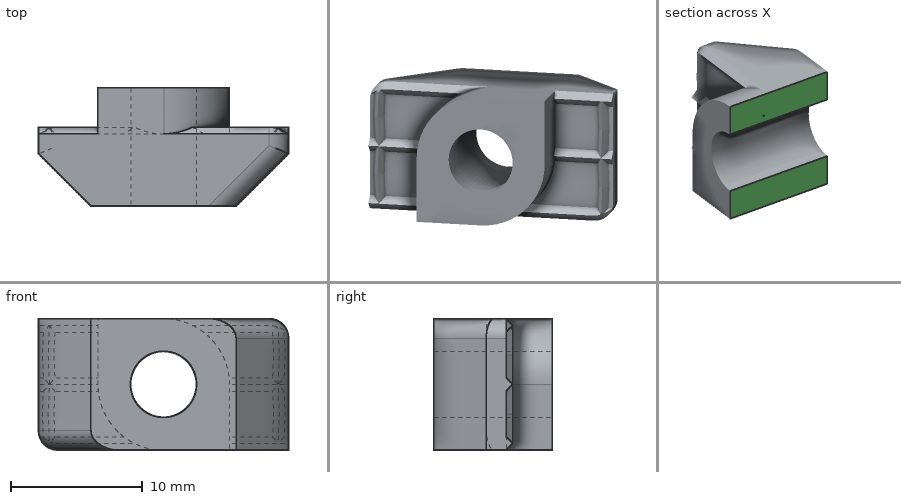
import cadquery as cq

length = 19.0
depth = 9.0
width = 10.0

floor_depth = 5.5
bevel = 3.99
corner_radius = 1.5

crest_depth = 6.0
end_ridge_inset = 0.72
end_ridge_half_base = 0.44
end_ridge_bow = 0.1

boss_radius = width / 2
hole_diameter = 5.0

half_length = length / 2
half_width = width / 2
ridge_height = crest_depth - floor_depth
edge_crest = half_width - ridge_height


def make_flange():
    """Bevelled flange with two diagonally opposite corners rounded."""
    outline = [
        (-half_length + bevel, 0),
        (half_length - bevel, 0),
        (half_length, bevel),
        (half_length, floor_depth),
        (-half_length, floor_depth),
        (-half_length, bevel),
    ]
    flange = cq.Workplane("XY").polyline(outline).close().extrude(half_width, both=True)
    for side in (-1, 1):
        corner_z = side * half_width
        bevel_middle = (side * (half_length - bevel / 2), bevel / 2, corner_z)
        end_middle = (side * half_length, (bevel + floor_depth) / 2, corner_z)
        bevel_edge = cq.selectors.NearestToPointSelector(bevel_middle)
        end_edge = cq.selectors.NearestToPointSelector(end_middle)
        flange = flange.edges(bevel_edge + end_edge).fillet(corner_radius)
    return flange


def ridge_section(center, half_base):
    """Corners of a triangular ridge section standing on the valley floor."""
    return [
        (center - half_base, floor_depth),
        (center, crest_depth),
        (center + half_base, floor_depth),
    ]


def make_long_ridge(center_z):
    """Straight ridge running the whole length of the flange."""
    section = ridge_section(center_z, ridge_height)
    return cq.Workplane("ZY").polyline(section).close().extrude(half_length, both=True)


def make_end_ridge(side):
    """Ridge across one end, bent slightly outward midway between the long ridges."""
    outer_crest = half_length - end_ridge_inset
    spans = 4
    span = 2 * edge_crest / spans
    ridge = cq.Workplane("XY", origin=(0, 0, -edge_crest))
    for station in range(spans + 1):
        if station > 0:
            ridge = ridge.workplane(offset=span)
        crest = outer_crest if station % 2 else outer_crest - end_ridge_bow
        ridge = ridge.polyline(ridge_section(side * crest, end_ridge_half_base)).close()
    return ridge.loft(ruled=True)


def make_corner_trim(side):
    """Material outside the conical end of the ridges at a rounded flange corner."""
    block = cq.Workplane("XY").box(corner_radius, ridge_height, corner_radius, centered=False)
    cone = cq.Solid.makeCone(
        corner_radius, corner_radius - ridge_height, ridge_height, dir=cq.Vector(0, 1, 0)
    )
    trim = block.cut(cq.Workplane(obj=cone))
    if side < 0:
        trim = trim.rotate((0, 0, 0), (0, 1, 0), 180)
    center_x = side * (half_length - corner_radius)
    center_z = side * (half_width - corner_radius)
    return trim.translate((center_x, floor_depth, center_z))


def make_ridges():
    """Three ridges along the length, crossed by one near each end."""
    ridges = make_long_ridge(0)
    for side in (-1, 1):
        ridges = ridges.union(make_long_ridge(side * edge_crest))
        ridges = ridges.union(make_end_ridge(side))
    for side in (-1, 1):
        ridges = ridges.cut(make_corner_trim(side))
    return ridges


def make_boss():
    """Round boss squared off in two opposite quadrants, so it turns only one way in a slot."""
    boss = cq.Workplane("XZ").circle(boss_radius).extrude(-depth)
    for side in (-1, 1):
        square = cq.Workplane("XY").box(boss_radius, depth, boss_radius)
        offset = side * boss_radius / 2
        boss = boss.union(square.translate((-offset, depth / 2, offset)))
    return boss


hole = cq.Workplane("XZ").circle(hole_diameter / 2).extrude(-depth)
result = make_flange().union(make_ridges()).union(make_boss()).cut(hole)